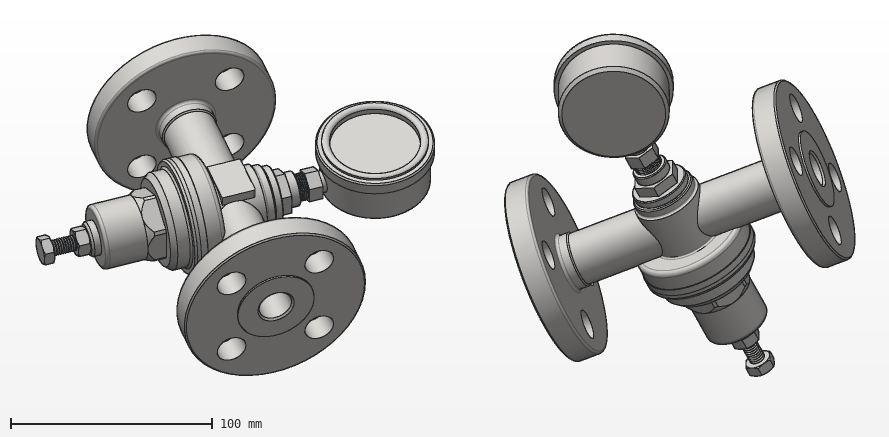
import cadquery as cq
import math


face_to_face = 150.0
raised_face_dia = 40.0
raised_face_height = 1.0
flange_dia = 95.0
flange_thickness = 13.0
flange_face_chamfer = 0.8
flange_back_fillet = 1.2
hub_dia = 28.5
hub_length = 6.5
hub_fillet = 1.5
pipe_dia = 27.0
bore_dia = 17.0
bore_chamfer = 1.0
bolt_hole_dia = 15.0
bolt_circle_dia = 65.0

port_dia = 32.0
port_root_dia = 34.5
port_root_y = 15.6
port_end_y = 20.8
port_chamfer = 0.6
bell_top_y = -9.5
bell_dia = 58.0
bell_fillet = 2.5
band_dia = 59.0
band_top_y = -19.7
neck_fillet = 0.9
pad_width = 23.0
pad_top_y = 11.4
pad_bottom_y = -6.1
pad_height = 18.0
pad_corner_fillet = 1.0

joint_y = -23.3
bonnet_band_y = -25.2
bonnet_lip_dia = 57.5
bonnet_lip_y = -26.5
bonnet_root_dia = 52.4
bonnet_rim_top_y = -27.6
bonnet_rim_dia = 50.0
bonnet_rim_end_dia = 45.0
bonnet_rim_y = -34.1
bonnet_rim_end_y = -37.1
bonnet_dia = 33.0
bonnet_hex_corner_dia = 37.0
bonnet_hex_end_y = -46.8
bonnet_hex_chamfer_length = 3.6
bonnet_end_y = -68.5
bonnet_fillet = 1.8
boss_dia = 18.0
boss_end_y = -73.2
boss_chamfer = 1.2

screw_dia = 8.0
screw_pitch = 1.25
screw_thread_depth = 0.65
screw_flats = 13.0
screw_end_y = -97.54
screw_head_height = 5.5
screw_embedded_length = 10.0
nut_height = 6.5
hex_corner_chamfer = 0.6

adapter_disc_dia = 29.0
adapter_chamfer = 0.5
adapter_disc_end_y = 25.1
adapter_flats = 20.5
adapter_hex_end_y = 30.8
adapter_collar_dia = 18.0
adapter_end_y = 36.2

gauge_y = 78.0
gauge_case_dia = 55.0
gauge_bottom_z = -9.2
gauge_bottom_chamfer = 1.8
gauge_bezel_dia = 59.0
gauge_bezel_bottom_z = 11.9
gauge_bezel_top_z = 18.4
gauge_bezel_chamfer = 0.8
gauge_ring_dia = 53.0
gauge_ring_edge_z = 19.6
gauge_ring_crest_dia = 51.0
gauge_top_z = 20.2
gauge_glass_dia = 45.0
gauge_ring_inner_z = 19.0
gauge_glass_z = 16.0
stem_dia = 11.0
stem_hex_corner_dia = 17.0
stem_flats = stem_hex_corner_dia * math.cos(math.pi / 6)
stem_hex_start_y = 41.1
stem_hex_end_y = 48.2
stem_thread_dia = 13.95
stem_thread_root_dia = 13.0
stem_thread_pitch = 0.9
stem_embedded_length = 4.0


def turned_y(stations):
    """Solid of revolution about the Y axis from (y, diameter) stations."""
    outline = [(dia / 2, y) for y, dia in stations]
    outline = [(0, stations[0][0])] + outline + [(0, stations[-1][0])]
    return cq.Workplane("XY").polyline(outline).close().revolve(360, (0, 0), (0, 1))


def cylinder_y(dia, y_low, y_high):
    return turned_y([(y_low, dia), (y_high, dia)])


def hex_y(flats, y_low, y_high):
    """Hexagonal prism along Y with its flats facing +X and -X."""
    corner_dia = flats / math.cos(math.pi / 6)
    prism = cq.Workplane("XZ", origin=(0, y_high, 0)).polygon(6, corner_dia).extrude(y_high - y_low)
    return prism.rotate((0, 0, 0), (0, 1, 0), 30)


def chamfered_hex_y(flats, y_low, y_high):
    """Bolt-style hexagon whose corners are turned down at both ends."""
    corner_dia = flats / math.cos(math.pi / 6)
    envelope = turned_y([
        (y_low, flats),
        (y_low + hex_corner_chamfer, corner_dia),
        (y_high - hex_corner_chamfer, corner_dia),
        (y_high, flats),
    ])
    return hex_y(flats, y_low, y_high).intersect(envelope)


def thread_y(dia, root_dia, pitch, y_low, y_high):
    """Threaded length as a stack of V-shaped ridges."""
    ridges = round((y_high - y_low) / pitch)
    step = (y_high - y_low) / ridges
    stations = [(y_low, root_dia)]
    for i in range(ridges):
        stations.append((y_low + (i + 0.5) * step, dia))
        stations.append((y_low + (i + 1) * step, root_dia))
    return turned_y(stations)


def make_flange():
    """Flange and welding hub at the -X end."""
    face_x = -face_to_face / 2 + raised_face_height
    back_x = face_x + flange_thickness
    disc = cq.Workplane("YZ", origin=(face_x, 0, 0)).circle(flange_dia / 2).extrude(flange_thickness)
    disc = disc.faces("<X").edges().chamfer(flange_face_chamfer)
    disc = disc.faces(">X").edges().fillet(flange_back_fillet)
    hub = cq.Workplane("YZ", origin=(back_x, 0, 0)).circle(hub_dia / 2).extrude(hub_length)
    hub = hub.faces(">X").edges().chamfer((hub_dia - pipe_dia) / 2)
    flange = disc.union(hub)
    root = cq.selectors.BoxSelector(
        (back_x - 0.1, -hub_dia, -hub_dia), (back_x + 0.1, hub_dia, hub_dia), boundingbox=True
    )
    flange = flange.edges(root).fillet(hub_fillet)
    raised_face = (
        cq.Workplane("YZ", origin=(face_x, 0, 0)).circle(raised_face_dia / 2).extrude(-raised_face_height)
    )
    bolt_spacing = bolt_circle_dia / math.sqrt(2)
    bolt_holes = (
        cq.Workplane("YZ", origin=(face_x, 0, 0))
        .rect(bolt_spacing, bolt_spacing, forConstruction=True)
        .vertices()
        .circle(bolt_hole_dia / 2)
        .extrude(flange_thickness)
    )
    return flange.union(raised_face).cut(bolt_holes)


def make_chamber():
    """Gauge port, neck and bell on the Y axis, with the label pad on top."""
    port_radius = port_dia / 2
    root_radius = port_root_dia / 2
    shoulder_fillet = root_radius - port_radius
    port = (
        cq.Workplane("XY")
        .moveTo(0, bell_top_y)
        .lineTo(root_radius + neck_fillet, bell_top_y)
        .radiusArc((root_radius, bell_top_y + neck_fillet), neck_fillet)
        .lineTo(root_radius, port_root_y)
        .radiusArc((port_radius, port_root_y + shoulder_fillet), shoulder_fillet)
        .lineTo(port_radius, port_end_y - port_chamfer)
        .lineTo(port_radius - port_chamfer, port_end_y)
        .lineTo(0, port_end_y)
        .close()
        .revolve(360, (0, 0), (0, 1))
    )
    bell = cylinder_y(bell_dia, band_top_y, bell_top_y).faces(">Y").edges().fillet(bell_fillet)
    band = cylinder_y(band_dia, joint_y, band_top_y)
    pad = cq.Workplane("XY").center(0, (pad_top_y + pad_bottom_y) / 2)
    pad = pad.rect(pad_width, pad_top_y - pad_bottom_y).extrude(pad_height)
    pad = pad.edges("|Z and >Y").fillet(pad_corner_fillet)
    return port.union(bell).union(band).union(pad)


def make_valve_body():
    pipe_length = face_to_face - 2 * raised_face_height
    pipe = cq.Workplane("YZ").circle(pipe_dia / 2).extrude(pipe_length / 2, both=True)
    flange = make_flange()
    body = make_chamber().union(pipe).union(flange).union(flange.mirror("YZ"))
    bore = cq.Workplane("YZ").circle(bore_dia / 2).extrude(face_to_face / 2, both=True)
    body = body.cut(bore)
    return body.faces("<X or >X").edges(cq.selectors.RadiusNthSelector(0)).chamfer(bore_chamfer)


def make_bonnet():
    rim = turned_y([
        (bonnet_rim_end_y, bonnet_rim_end_dia),
        (bonnet_rim_y, bonnet_rim_dia),
        (bonnet_rim_top_y, bonnet_rim_dia),
        (bonnet_lip_y, bonnet_root_dia),
        (bonnet_lip_y, bonnet_lip_dia),
        (bonnet_band_y, band_dia),
        (joint_y, band_dia),
    ])
    hex_envelope = turned_y([
        (bonnet_hex_end_y, bonnet_dia),
        (bonnet_hex_end_y + bonnet_hex_chamfer_length, bonnet_hex_corner_dia),
        (bonnet_rim_end_y, bonnet_hex_corner_dia),
    ])
    wrench_hex = hex_y(bonnet_dia, bonnet_hex_end_y, bonnet_rim_end_y).intersect(hex_envelope)
    barrel = cylinder_y(bonnet_dia, bonnet_end_y, bonnet_hex_end_y)
    barrel = barrel.faces("<Y").edges().fillet(bonnet_fillet)
    boss = cylinder_y(boss_dia, boss_end_y, bonnet_end_y).faces("<Y").edges().chamfer(boss_chamfer)
    screw_hole = cylinder_y(screw_dia, boss_end_y, boss_end_y + screw_embedded_length)
    return rim.union(wrench_hex).union(barrel).union(boss).cut(screw_hole)


nut_end_y = boss_end_y - nut_height


def make_lock_nut():
    nut = chamfered_hex_y(screw_flats, nut_end_y, boss_end_y)
    return nut.cut(cylinder_y(screw_dia, nut_end_y, boss_end_y))


def make_screw():
    head_y = screw_end_y + screw_head_height
    head = chamfered_hex_y(screw_flats, screw_end_y, head_y)
    thread = thread_y(screw_dia, screw_dia - 2 * screw_thread_depth, screw_pitch, head_y, nut_end_y)
    shank = cylinder_y(screw_dia, nut_end_y, boss_end_y + screw_embedded_length)
    return head.union(thread).union(shank)


def make_adapter():
    disc = cylinder_y(adapter_disc_dia, port_end_y, adapter_disc_end_y).edges().chamfer(adapter_chamfer)
    wrench_hex = hex_y(adapter_flats, adapter_disc_end_y, adapter_hex_end_y)
    collar = cylinder_y(adapter_collar_dia, adapter_hex_end_y, adapter_end_y).edges().chamfer(adapter_chamfer)
    socket = cylinder_y(stem_dia, adapter_end_y - stem_embedded_length, adapter_end_y)
    return disc.union(wrench_hex).union(collar).cut(socket)


def make_gauge():
    case_radius = gauge_case_dia / 2
    bezel_radius = gauge_bezel_dia / 2
    ring_radius = gauge_ring_dia / 2
    glass_radius = gauge_glass_dia / 2
    case = (
        cq.Workplane("XZ")
        .moveTo(0, gauge_bottom_z)
        .lineTo(case_radius - gauge_bottom_chamfer, gauge_bottom_z)
        .lineTo(case_radius, gauge_bottom_z + gauge_bottom_chamfer)
        .lineTo(case_radius, gauge_bezel_bottom_z)
        .lineTo(bezel_radius, gauge_bezel_bottom_z)
        .lineTo(bezel_radius, gauge_bezel_top_z - gauge_bezel_chamfer)
        .lineTo(bezel_radius - gauge_bezel_chamfer, gauge_bezel_top_z)
        .lineTo(ring_radius, gauge_bezel_top_z)
        .lineTo(ring_radius, gauge_ring_edge_z)
        .threePointArc((gauge_ring_crest_dia / 2, gauge_top_z), (glass_radius, gauge_ring_inner_z))
        .lineTo(glass_radius, gauge_glass_z)
        .lineTo(0, gauge_glass_z)
        .close()
        .revolve(360, (0, 0), (0, 1))
    )
    case = case.translate((0, gauge_y, 0))
    neck = cylinder_y(stem_dia, stem_hex_end_y, gauge_y)
    wrench_hex = hex_y(stem_flats, stem_hex_start_y, stem_hex_end_y)
    thread = thread_y(
        stem_thread_dia, stem_thread_root_dia, stem_thread_pitch, adapter_end_y, stem_hex_start_y
    )
    spigot = cylinder_y(stem_dia, adapter_end_y - stem_embedded_length, adapter_end_y)
    return case.union(neck).union(wrench_hex).union(thread).union(spigot)


valve_body = make_valve_body()
bonnet = make_bonnet()
lock_nut = make_lock_nut()
screw = make_screw()
adapter = make_adapter()
gauge = make_gauge()

result = cq.Compound.makeCompound([
    valve_body.val(),
    bonnet.val(),
    lock_nut.val(),
    screw.val(),
    adapter.val(),
    gauge.val(),
])